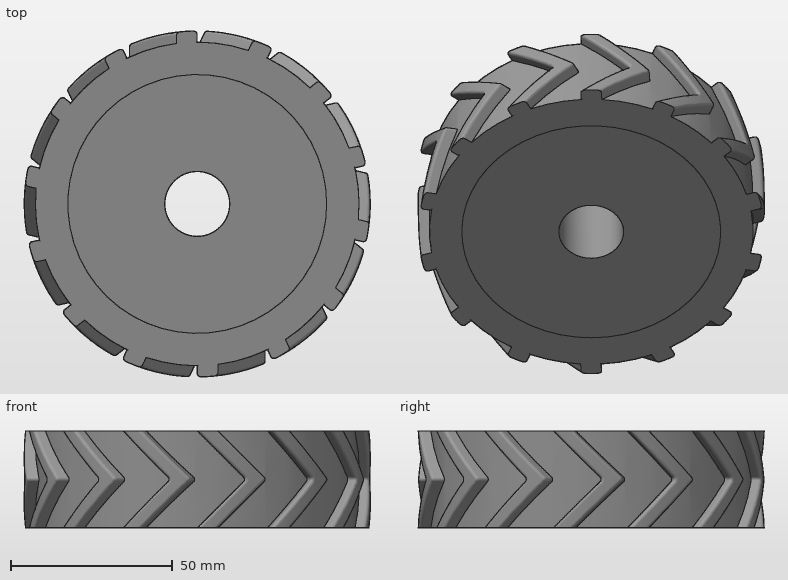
import cadquery as cq
import math

width = 30.0
bore_diameter = 20.0
hub_diameter = 80.0
tread_diameter = 100.0
outer_diameter = 107.0

lug_count = 14
arm_angle = math.radians(45)
arm_thickness = 4.5
lug_width = arm_thickness / math.cos(arm_angle)
lug_reach = width / 2 * math.tan(arm_angle)
lug_fillet = 1.0
lug_root_depth = 2.0


def make_ring(diameter, hole_diameter):
    """Plain ring as wide as the wheel."""
    return cq.Workplane("XY").circle(diameter / 2).circle(hole_diameter / 2).extrude(width)


def make_lug():
    """One V-shaped lug on the -Y side, pointing to +X, with walls parallel to Y."""
    outline = [
        (0, 0),
        (lug_width, 0),
        (lug_width + lug_reach, width / 2),
        (lug_width, width),
        (0, width),
        (lug_reach, width / 2),
    ]
    prism = cq.Workplane("XZ").polyline(outline).close().extrude(outer_diameter)
    lug_base_diameter = tread_diameter - 2 * lug_root_depth
    lug = prism.intersect(make_ring(outer_diameter, lug_base_diameter))
    lug = lug.edges("|Y exc (<Z or >Z)").fillet(lug_fillet)
    return lug.faces("<Y").edges("not(<Z or >Z)").fillet(lug_fillet)


def make_tyre():
    """Ring with the lugs joined on at equal angles."""
    tyre = make_ring(tread_diameter, hub_diameter)
    lug = make_lug()
    for index in range(lug_count):
        angle = index * 360 / lug_count
        tyre = tyre.union(lug.rotate((0, 0, 0), (0, 0, 1), angle))
    return tyre


hub = make_ring(hub_diameter, bore_diameter)
tyre = make_tyre()

result = cq.Compound.makeCompound([hub.val(), *tyre.vals()])